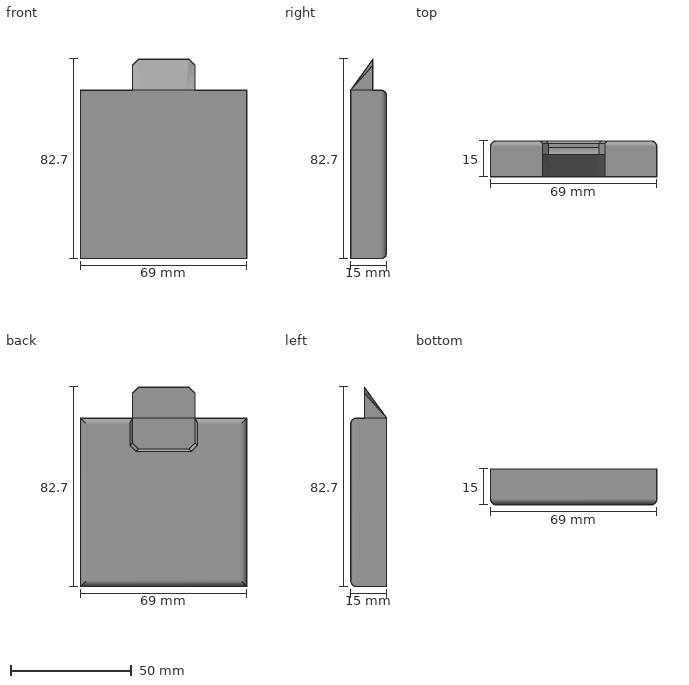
import cadquery as cq
import math

PLATE_WIDTH = 69.0
PLATE_THICKNESS = 15.0
OVERALL_HEIGHT = 82.7
TONGUE_HEIGHT = 12.8
PLATE_HEIGHT = OVERALL_HEIGHT - TONGUE_HEIGHT
BACK_FILLET = 2.5

TONGUE_WIDTH = 26.0
TONGUE_DEPTH = 9.3
CORNER_CHAMFER = 2.5
TONGUE_TIP_INSET = 3.6

RECESS_DEPTH = TONGUE_HEIGHT
LEAD_IN = 1.0

SLOT_WIDTH = TONGUE_WIDTH - 2 * CORNER_CHAMFER
SLOT_BACK = 12.2
SLOT_FLAT = 0.5
SLOT_DEPTH = 2.5
SLOT_FLOOR_RADIUS = 6.0


def recess_profile(y, growth):
    """Wire across the recess at depth y, widened and deepened by growth."""
    half = TONGUE_WIDTH / 2 + growth
    bottom = -RECESS_DEPTH - growth
    points = [
        (-half, 0),
        (-half, bottom + CORNER_CHAMFER),
        (-half + CORNER_CHAMFER, bottom),
        (half - CORNER_CHAMFER, bottom),
        (half, bottom + CORNER_CHAMFER),
        (half, 0),
    ]
    return cq.Wire.makePolygon([cq.Vector(x, y, z) for x, z in points], close=True)


def make_recess():
    """Recess volume: straight channel plus the flared lead-in at the back."""
    lead_in_start = PLATE_THICKNESS - LEAD_IN
    channel = cq.Solid.makeLoft(
        [recess_profile(TONGUE_DEPTH, 0), recess_profile(lead_in_start, 0)], True
    )
    mouth = cq.Solid.makeLoft(
        [recess_profile(lead_in_start, 0), recess_profile(PLATE_THICKNESS, LEAD_IN)], True
    )
    return cq.Workplane(channel).union(cq.Workplane(mouth))


def make_slot():
    """Slot volume: a narrow flat floor that curves upward toward the front."""
    slot_bottom = -RECESS_DEPTH - SLOT_DEPTH
    arc_start = SLOT_BACK - SLOT_FLAT
    run = arc_start - TONGUE_DEPTH
    rise = SLOT_FLOOR_RADIUS - math.sqrt(SLOT_FLOOR_RADIUS**2 - run**2)
    return (
        cq.Workplane("YZ")
        .moveTo(SLOT_BACK, -RECESS_DEPTH)
        .lineTo(SLOT_BACK, slot_bottom)
        .lineTo(arc_start, slot_bottom)
        .radiusArc((TONGUE_DEPTH, slot_bottom + rise), SLOT_FLOOR_RADIUS)
        .lineTo(TONGUE_DEPTH, -RECESS_DEPTH)
        .close()
        .extrude(SLOT_WIDTH / 2, both=True)
    )


def make_plate():
    """Plate with rounded back edges, the recess and the slot in its floor."""
    block = cq.Workplane("XY").box(
        PLATE_WIDTH, PLATE_THICKNESS, PLATE_HEIGHT, centered=(True, False, False)
    )
    block = block.translate((0, 0, -PLATE_HEIGHT))
    block = block.faces(">Y").edges().fillet(BACK_FILLET)
    return block.cut(make_recess()).cut(make_slot())


def polygon_face(points):
    """Flat face bounded by straight lines through the points."""
    return cq.Face.makeFromWires(cq.Wire.makePolygon(points, close=True))


def make_tongue():
    """Wedge whose top corner chamfers twist into the slope at the front tip."""
    half = TONGUE_WIDTH / 2
    shoulder = TONGUE_HEIGHT - CORNER_CHAMFER
    faces = []
    outlines = []
    for side in (-1, 1):
        back_foot = cq.Vector(side * half, TONGUE_DEPTH, 0)
        back_shoulder = cq.Vector(side * half, TONGUE_DEPTH, shoulder)
        back_top = cq.Vector(side * (half - CORNER_CHAMFER), TONGUE_DEPTH, TONGUE_HEIGHT)
        tip_inner = cq.Vector(side * (half - TONGUE_TIP_INSET), 0, 0)
        tip_outer = cq.Vector(side * half, 0, 0)
        faces.append(polygon_face([back_foot, back_shoulder, tip_outer]))
        faces.append(
            cq.Face.makeRuledSurface(
                cq.Edge.makeLine(back_top, tip_inner),
                cq.Edge.makeLine(back_shoulder, tip_outer),
            )
        )
        outlines.append((back_foot, back_shoulder, back_top, tip_inner, tip_outer))

    left, right = outlines
    left_foot, left_shoulder, left_top, left_inner, left_outer = left
    right_foot, right_shoulder, right_top, right_inner, right_outer = right
    back = [left_foot, left_shoulder, left_top, right_top, right_shoulder, right_foot]
    base = [left_foot, left_outer, left_inner, right_inner, right_outer, right_foot]
    faces.append(polygon_face(back))
    faces.append(polygon_face(base))
    faces.append(polygon_face([left_top, left_inner, right_inner, right_top]))
    return cq.Solid.makeSolid(cq.Shell.makeShell(faces)).fix()


plate = make_plate()
tongue = make_tongue()

result = cq.Compound.makeCompound([plate.val(), tongue])